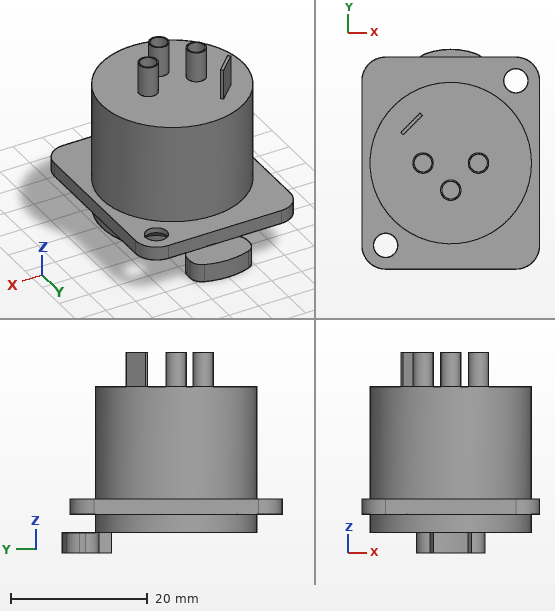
import cadquery as cq
import math

flange_width = 26.0
flange_length = 31.0
flange_thickness = 2.25
corner_radius = 3.5
screw_hole_diameter = 3.5
countersink_diameter = 6.3
countersink_angle = 90
screw_hole_x = 9.5
screw_hole_y = 12.0

body_diameter = 23.58
body_above_flange = 16.38
body_below_flange = 2.65

terminal_height = 5.0
cup_outer_diameter = 3.0
cup_inner_diameter = 2.6
cup_spread = 4.05
cup_drop = 3.95
tab_length = 3.95
tab_thickness = 0.48
tab_offset = 5.72
tab_angle = 45

latch_height = 3.0
latch_half_width = 5.0
latch_tip_y = 32.12 - flange_length / 2
latch_corner_radius = 2.0
latch_upper_corner_y = 14.1
latch_lower_corner_y = 13.23
latch_stem_inner_radius = 9.73
latch_stem_half_angle = math.radians(15)

body_top = flange_thickness + body_above_flange
body_bottom = -body_below_flange
latch_bottom = body_bottom - latch_height


def make_flange():
    screw_holes = [(screw_hole_x, -screw_hole_y), (-screw_hole_x, screw_hole_y)]
    return (
        cq.Workplane("XY")
        .rect(flange_width, flange_length)
        .extrude(flange_thickness)
        .edges("|Z")
        .fillet(corner_radius)
        .faces("<Z")
        .workplane()
        .pushPoints(screw_holes)
        .cskHole(screw_hole_diameter, countersink_diameter, countersink_angle)
    )


def make_body():
    body = cq.Workplane("XY").workplane(offset=body_bottom).circle(body_diameter / 2)
    return body.extrude(body_top - body_bottom)


def make_solder_cups():
    cup_centers = [(-cup_spread, 0), (cup_spread, 0), (0, -cup_drop)]
    return (
        cq.Workplane("XY", origin=(0, 0, body_top))
        .pushPoints(cup_centers)
        .circle(cup_outer_diameter / 2)
        .circle(cup_inner_diameter / 2)
        .extrude(terminal_height)
    )


def make_ground_tab():
    return (
        cq.Workplane("XY", origin=(-tab_offset, tab_offset, body_top))
        .transformed(rotate=(0, 0, tab_angle))
        .rect(tab_length, tab_thickness)
        .extrude(terminal_height)
    )


def make_latch():
    corner_x = latch_half_width - latch_corner_radius
    diagonal = latch_corner_radius * math.sqrt(0.5)
    shoulder_y = latch_lower_corner_y - latch_corner_radius

    tip_rise = latch_tip_y - latch_upper_corner_y
    tip_radius = corner_x**2 + tip_rise**2 - latch_corner_radius**2
    tip_radius /= 2 * (tip_rise - latch_corner_radius)
    tip_center_y = latch_tip_y - tip_radius
    tangent_ratio = tip_radius / (tip_radius - latch_corner_radius)
    tangent_x = corner_x * tangent_ratio
    tangent_y = tip_center_y + (latch_upper_corner_y - tip_center_y) * tangent_ratio
    upper_angle = math.atan2(tangent_y - latch_upper_corner_y, tangent_x - corner_x) / 2
    upper_mid_x = corner_x + latch_corner_radius * math.cos(upper_angle)
    upper_mid_y = latch_upper_corner_y + latch_corner_radius * math.sin(upper_angle)

    stem_x = latch_stem_inner_radius * math.sin(latch_stem_half_angle)
    stem_y = latch_stem_inner_radius * math.cos(latch_stem_half_angle)

    return (
        cq.Workplane("XY", origin=(0, 0, latch_bottom))
        .moveTo(-stem_x, stem_y)
        .threePointArc((0, latch_stem_inner_radius), (stem_x, stem_y))
        .lineTo(corner_x, shoulder_y)
        .threePointArc(
            (corner_x + diagonal, latch_lower_corner_y - diagonal),
            (latch_half_width, latch_lower_corner_y),
        )
        .lineTo(latch_half_width, latch_upper_corner_y)
        .threePointArc((upper_mid_x, upper_mid_y), (tangent_x, tangent_y))
        .threePointArc((0, latch_tip_y), (-tangent_x, tangent_y))
        .threePointArc((-upper_mid_x, upper_mid_y), (-latch_half_width, latch_upper_corner_y))
        .lineTo(-latch_half_width, latch_lower_corner_y)
        .threePointArc(
            (-corner_x - diagonal, latch_lower_corner_y - diagonal),
            (-corner_x, shoulder_y),
        )
        .close()
        .extrude(latch_height)
    )


result = make_flange().union(make_body())
for feature in (make_solder_cups(), make_ground_tab(), make_latch()):
    result = result.union(feature)